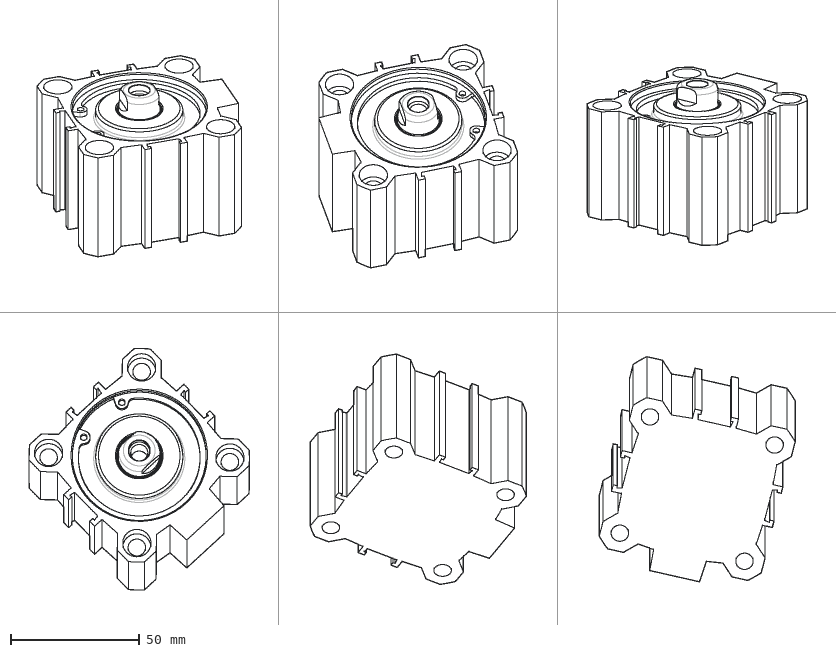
import cadquery as cq
import math


HOUSING_HEIGHT = 44.5
TOTAL_HEIGHT = 52.0
HALF_WIDTH = 65.0 / 2
PORT_FACE_Y = 70.0 - HALF_WIDTH

CORNER_RADIUS = 43.0
EAR_SHOULDER = 21.8
EAR_NOTCH_ALONG = 17.0
EAR_NOTCH_ACROSS = HALF_WIDTH - (EAR_SHOULDER - EAR_NOTCH_ALONG)
SIDE_AT_RAIL = 28.3
SIDE_BETWEEN_RAILS = 28.55
PORT_HALF_WIDTH = 10.0
PORT_HALF_ROOT = 10.6

RAIL_OUTER = 8.75
RAIL_LIP_EDGE = 5.95
RAIL_INNER_TIP = 6.9
RAIL_INNER_ROOT = 6.5
RAIL_TOP = 32.3
RAIL_LIP_THICKNESS = 1.7
RAIL_OVERLAP = 0.7

BOLT_SPACING = 50.0
BOLT_HOLE_DIAMETER = 6.8
BOLT_HEAD_DIAMETER = 11.0
BOLT_HEAD_DEPTH = 7.0

BORE_DIAMETER = 52.2
BORE_CHAMFER = 0.5
GROOVE_DIAMETER = 55.2
RING_DEPTH = 2.8
RING_THICKNESS = 2.0

COVER_DIAMETER = 51.8
COVER_THICKNESS = 9.8
BOSS_DIAMETER = 34.0
BOSS_TOP_DEPTH = 0.7
BOSS_CHAMFER_WIDTH = 1.1
BOSS_CHAMFER_HEIGHT = 0.8
BOSS_FILLET = 0.8
ROD_HOLE_DIAMETER = 16.5
SEAL_DIAMETER = 17.7
SEAL_DEPTH = 0.8
WIPER_DEPTH = 0.35
SEAL_CHAMFER = 0.4
WIPER_FOOT_DIAMETER = 17.1

RING_INNER_DIAMETER = 47.45
LUG_X = 10.2
LUG_Y = -20.65
LUG_RADIUS = 2.5
LUG_HOLE_DIAMETER = 2.5
LUG_BLEND = 2.1

ROD_DIAMETER = 16.0
ROD_FILLET = 1.8
FLAT_WIDTH = 13.0
FLAT_LENGTH = 5.4
THREAD_MOUTH_DIAMETER = 8.55
THREAD_RELIEF_DIAMETER = 8.25
THREAD_RELIEF_DEPTH = 2.7
THREAD_HOLE_DIAMETER = 6.65
THREAD_HOLE_DEPTH = 14.0

RING_TOP = HOUSING_HEIGHT - RING_DEPTH
COVER_TOP = RING_TOP - RING_THICKNESS
COVER_BOTTOM = COVER_TOP - COVER_THICKNESS
BOSS_TOP = HOUSING_HEIGHT - BOSS_TOP_DEPTH


def disc(diameter, bottom, top):
    """Solid cylinder on the rod axis between two levels."""
    return cq.Workplane("XY").workplane(offset=bottom).circle(diameter / 2).extrude(top - bottom)


def housing_block():
    """Extruded outline with its four corner ears and the port block on +Y."""
    corner_end = math.sqrt(CORNER_RADIUS**2 - HALF_WIDTH**2)
    corner_middle = CORNER_RADIUS / math.sqrt(2)

    outline = (
        cq.Workplane("XY")
        .moveTo(0, PORT_FACE_Y)
        .lineTo(PORT_HALF_WIDTH, PORT_FACE_Y)
        .lineTo(PORT_HALF_ROOT, SIDE_BETWEEN_RAILS)
        .lineTo(EAR_NOTCH_ALONG, EAR_NOTCH_ACROSS)
        .lineTo(EAR_SHOULDER, HALF_WIDTH)
        .lineTo(corner_end, HALF_WIDTH)
        .threePointArc((corner_middle, corner_middle), (HALF_WIDTH, corner_end))
        .lineTo(HALF_WIDTH, EAR_SHOULDER)
        .lineTo(EAR_NOTCH_ACROSS, EAR_NOTCH_ALONG)
        .lineTo(SIDE_AT_RAIL, RAIL_OUTER)
        .lineTo(SIDE_BETWEEN_RAILS, RAIL_INNER_ROOT)
        .lineTo(SIDE_BETWEEN_RAILS, -RAIL_INNER_ROOT)
        .lineTo(SIDE_AT_RAIL, -RAIL_OUTER)
        .lineTo(EAR_NOTCH_ACROSS, -EAR_NOTCH_ALONG)
        .lineTo(HALF_WIDTH, -EAR_SHOULDER)
        .lineTo(HALF_WIDTH, -corner_end)
        .threePointArc((corner_middle, -corner_middle), (corner_end, -HALF_WIDTH))
        .lineTo(EAR_SHOULDER, -HALF_WIDTH)
        .lineTo(EAR_NOTCH_ALONG, -EAR_NOTCH_ACROSS)
        .lineTo(RAIL_OUTER, -SIDE_AT_RAIL)
        .lineTo(0, -SIDE_AT_RAIL)
        .mirrorY()
    )
    return outline.extrude(HOUSING_HEIGHT)


def rail_pair():
    """Two hooked rails on the +X side that face each other."""
    lip_bottom = RAIL_TOP - RAIL_LIP_THICKNESS
    root = SIDE_AT_RAIL - RAIL_OVERLAP
    rail = (
        cq.Workplane("XY")
        .polyline([
            (root, RAIL_OUTER),
            (RAIL_TOP, RAIL_OUTER),
            (RAIL_TOP, RAIL_LIP_EDGE),
            (lip_bottom, RAIL_LIP_EDGE),
            (lip_bottom, RAIL_INNER_TIP),
            (SIDE_BETWEEN_RAILS, RAIL_INNER_ROOT),
            (root, RAIL_INNER_ROOT),
        ])
        .close()
        .extrude(HOUSING_HEIGHT)
    )
    return rail.union(rail.mirror("XZ"))


def make_housing():
    """Housing with rails on three sides, bolt holes, and the seat for cover and ring."""
    housing = housing_block()
    rails = rail_pair()
    for angle in (0, 180, 270):
        housing = housing.union(rails.rotate((0, 0, 0), (0, 0, 1), angle))
    housing = (
        housing.faces(">Z")
        .workplane(origin=(0, 0, HOUSING_HEIGHT))
        .rect(BOLT_SPACING, BOLT_SPACING, forConstruction=True)
        .vertices()
        .cboreHole(BOLT_HOLE_DIAMETER, BOLT_HEAD_DIAMETER, BOLT_HEAD_DEPTH)
    )
    bore_radius = BORE_DIAMETER / 2
    bore_mouth = disc(BORE_DIAMETER, COVER_TOP, HOUSING_HEIGHT)
    mouth_chamfer = (
        cq.Workplane("XZ")
        .polyline([
            (0, HOUSING_HEIGHT - BORE_CHAMFER),
            (bore_radius, HOUSING_HEIGHT - BORE_CHAMFER),
            (bore_radius + BORE_CHAMFER, HOUSING_HEIGHT),
            (0, HOUSING_HEIGHT),
        ])
        .close()
        .revolve(360, (0, 0), (0, 1))
    )
    cover_seat = disc(COVER_DIAMETER, COVER_BOTTOM, COVER_TOP)
    groove = disc(GROOVE_DIAMETER, COVER_TOP, RING_TOP)
    return housing.cut(bore_mouth).cut(mouth_chamfer).cut(cover_seat).cut(groove)


def make_cover():
    """Head cover with its boss and a wiper lip around the rod hole."""
    flange_radius = COVER_DIAMETER / 2
    boss_radius = BOSS_DIAMETER / 2
    seal_radius = SEAL_DIAMETER / 2
    hole_radius = ROD_HOLE_DIAMETER / 2
    return (
        cq.Workplane("XZ")
        .moveTo(hole_radius, COVER_BOTTOM)
        .lineTo(flange_radius, COVER_BOTTOM)
        .lineTo(flange_radius, COVER_TOP)
        .lineTo(boss_radius + BOSS_FILLET, COVER_TOP)
        .radiusArc((boss_radius, COVER_TOP + BOSS_FILLET), BOSS_FILLET)
        .lineTo(boss_radius, BOSS_TOP - BOSS_CHAMFER_HEIGHT)
        .lineTo(boss_radius - BOSS_CHAMFER_WIDTH, BOSS_TOP)
        .lineTo(seal_radius + SEAL_CHAMFER, BOSS_TOP)
        .lineTo(seal_radius, BOSS_TOP - SEAL_CHAMFER)
        .lineTo(seal_radius, BOSS_TOP - SEAL_DEPTH)
        .lineTo(WIPER_FOOT_DIAMETER / 2, BOSS_TOP - SEAL_DEPTH)
        .lineTo(hole_radius, BOSS_TOP - WIPER_DEPTH)
        .close()
        .revolve(360, (0, 0), (0, 1))
    )


def ring_lug():
    """Lug at the -X end of the ring, blended into the inner edge on the side away from the opening."""
    distance = math.hypot(LUG_X, LUG_Y)
    angle = math.degrees(math.atan2(LUG_X, -LUG_Y))
    inner_radius = RING_INNER_DIAMETER / 2
    outer_radius = GROOVE_DIAMETER / 2

    blend_distance = inner_radius - LUG_BLEND
    lug_to_blend = LUG_RADIUS + LUG_BLEND
    blend_angle = math.acos(
        (blend_distance**2 + distance**2 - lug_to_blend**2) / (2 * blend_distance * distance)
    )
    lug_center = cq.Vector(0, -distance)
    ring_direction = cq.Vector(-math.sin(blend_angle), -math.cos(blend_angle))
    blend_center = ring_direction * blend_distance
    lug_direction = (lug_center - blend_center).normalized()
    blend_middle = blend_center + (ring_direction + lug_direction).normalized() * LUG_BLEND
    lug_touch = blend_center + lug_direction * LUG_BLEND

    lug = (
        cq.Workplane("XY").workplane(offset=COVER_TOP)
        .moveTo(LUG_RADIUS, -outer_radius)
        .lineTo(LUG_RADIUS, -distance)
        .threePointArc((0, LUG_RADIUS - distance), lug_touch.toTuple()[:2])
        .threePointArc(blend_middle.toTuple()[:2], (ring_direction * inner_radius).toTuple()[:2])
        .lineTo(*(ring_direction * outer_radius).toTuple()[:2])
        .close()
        .extrude(RING_THICKNESS)
        .intersect(disc(GROOVE_DIAMETER, COVER_TOP, RING_TOP))
    )
    return lug.rotate((0, 0, 0), (0, 0, 1), -angle)


def make_ring():
    """Retaining ring, open on -Y, with a drilled lug at each end."""
    ring = disc(GROOVE_DIAMETER, COVER_TOP, RING_TOP).cut(disc(RING_INNER_DIAMETER, COVER_TOP, RING_TOP))

    opening = (
        cq.Workplane("XY").workplane(offset=COVER_TOP)
        .polyline([(0, 0), (2 * LUG_X, 2 * LUG_Y), (-2 * LUG_X, 2 * LUG_Y)])
        .close()
        .extrude(RING_THICKNESS)
    )
    lug = ring_lug()
    lug_holes = (
        cq.Workplane("XY").workplane(offset=COVER_TOP)
        .pushPoints([(-LUG_X, LUG_Y), (LUG_X, LUG_Y)])
        .circle(LUG_HOLE_DIAMETER / 2)
        .extrude(RING_THICKNESS)
    )
    return ring.cut(opening).union(lug).union(lug.mirror("YZ")).cut(lug_holes)


def make_rod():
    """Piston rod with two wrench flats and a blind hole in its end."""
    rod = disc(ROD_DIAMETER, COVER_BOTTOM, TOTAL_HEIGHT).faces(">Z").edges().fillet(ROD_FILLET)

    flat_bottom = TOTAL_HEIGHT - FLAT_LENGTH
    flat_y = FLAT_WIDTH / 2
    flat_cutter = (
        cq.Workplane("YZ")
        .polyline([
            (flat_y, TOTAL_HEIGHT),
            (flat_y, flat_bottom),
            (flat_y + FLAT_LENGTH, flat_bottom - FLAT_LENGTH),
            (flat_y + FLAT_LENGTH, TOTAL_HEIGHT),
        ])
        .close()
        .extrude(ROD_DIAMETER / 2, both=True)
    )
    rod = rod.cut(flat_cutter).cut(flat_cutter.mirror("XZ"))

    mouth_radius = THREAD_MOUTH_DIAMETER / 2
    relief_radius = THREAD_RELIEF_DIAMETER / 2
    hole_radius = THREAD_HOLE_DIAMETER / 2
    relief_bottom = TOTAL_HEIGHT - THREAD_RELIEF_DEPTH
    hole_bottom = TOTAL_HEIGHT - THREAD_HOLE_DEPTH
    bore = (
        cq.Workplane("XZ")
        .polyline([
            (0, TOTAL_HEIGHT),
            (mouth_radius, TOTAL_HEIGHT),
            (relief_radius, TOTAL_HEIGHT - (mouth_radius - relief_radius)),
            (relief_radius, relief_bottom),
            (hole_radius, relief_bottom - (relief_radius - hole_radius)),
            (hole_radius, hole_bottom),
            (0, hole_bottom),
        ])
        .close()
        .revolve(360, (0, 0), (0, 1))
    )
    return rod.cut(bore)


housing = make_housing()
cover = make_cover()
ring = make_ring()
rod = make_rod()

result = cq.Compound.makeCompound([housing.val(), cover.val(), ring.val(), rod.val()])